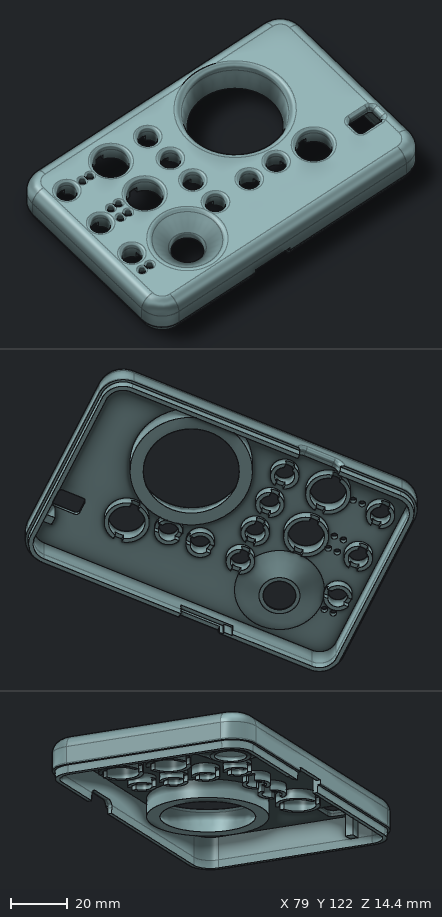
import cadquery as cq
import math

LENGTH_X = 79.0
LENGTH_Y = 122.0
HEIGHT = 14.4
CORNER_RADIUS = 9.3
TOP_EDGE_RADIUS = 5.0
WALL = 3.0
PLATE = 3.0
CAVITY_HEIGHT = HEIGHT - PLATE

LIP_HEIGHT = 2.9
LIP_INSET = 1.0
LIP_DRAFT_ANGLE = 4.0
STEP_CHAMFER_HEIGHT = 0.45
STEP_CHAMFER_WIDTH = 0.1

RIM_FILLET = 1.53
LARGE_BUTTON_RADIUS = 6.4
SMALL_BUTTON_RADIUS = 3.5
LARGE_BUTTONS = [(15.3, 29.5), (-24.3, -30.2), (-5.6, -30.2)]
SMALL_BUTTON_PAIR = [(12.7, 14.5), (12.7, 2.3)]
BUTTON_ROW_X = -24.5
BUTTON_ROW_Y = -13.3
BUTTON_ROW_PITCH = 12.5
BUTTON_ROW_COUNT = 4
BOTTOM_BUTTONS_Y = -50.5
BOTTOM_BUTTONS_X = [-24.0, -5.3]
BOTTOM_RIGHT_BUTTON = (12.0, BOTTOM_BUTTONS_Y)
TUBE_WALL = 1.5
TUBE_DEPTH = 6.6
TUBE_SLOT_WIDTH = 3.2
TUBE_SLOT_DEPTH = 2.4

LIGHT_RADIUS = 1.15
LIGHT_RIM_FILLET = 0.8
LIGHT_PITCH = 3.5
LIGHT_PAIR_CENTERS = [(-24.0, -41.7), (-8.2, -41.7), (-2.9, -41.7), (19.9, -50.6)]

DIAL_CENTER = (-14.4, 18.15)
DIAL_RIM_RADIUS = 21.5
DIAL_BOTTOM_RADIUS = 16.8
DIAL_DEPTH = 9.8
DIAL_RIM_FILLET = 2.7
DIAL_TAPER_ANGLE = 15.5

JOYSTICK_CENTER = (19.35, -31.3)
JOYSTICK_RIM_RADIUS = 14.3
JOYSTICK_HOLE_RADIUS = 5.7
JOYSTICK_RIM_FILLET = 3.0
JOYSTICK_THROAT_FILLET = 2.5
JOYSTICK_TAPER_ANGLE = 52.0
FUNNEL_WALL = 1.5

WINDOW_CENTER = (18.1, 50.6)
WINDOW_X = 7.0
WINDOW_Y = 10.4
WINDOW_CORNER_RADIUS = 1.4
WINDOW_RIM_FILLET = 1.6
SELECTION_MARGIN = 1.02
POST_X = 3.0
POST_Y = 3.7

NOTCH_CENTER_Y = -20.6
NOTCH_WIDTH = 15.6
NOTCH_TOP = 4.5
NOTCH_CORNER_RADIUS = 2.4
NOTCH_RIM_FILLET = 1.6
FAR_NOTCH_Y_MIN = -16.7
FAR_POCKET_TOP = 6.0
FAR_POCKETS = [(-18.05, 1.4), (-21.1, 0.7)]


def rounded_block(size_x, size_y, height, radius, z_bottom):
    block = cq.Workplane("XY").box(size_x, size_y, height, centered=(True, True, False))
    return block.edges("|Z").fillet(radius).translate((0, 0, z_bottom))


def cylinder(center, radius, z_bottom, z_top):
    return cq.Workplane("XY", origin=(*center, z_bottom)).circle(radius).extrude(z_top - z_bottom)


def revolve_at(profile, center):
    return profile.close().revolve(360, (0, 0, 0), (0, 1, 0)).translate((*center, 0))


def rounded_rim(rim_radius, fillet, taper_degrees=0.0):
    """Open (radius, z) profile: axis, top face, then the rim arc down to the bore wall.

    Returns the profile and the point where the arc meets the wall."""
    taper = math.radians(taper_degrees)
    middle = (taper + math.pi / 2) / 2
    center_z = HEIGHT - fillet

    def arc_point(angle):
        return (rim_radius - fillet * math.cos(angle), center_z + fillet * math.sin(angle))

    wall_start = arc_point(taper)
    profile = cq.Workplane("XZ").moveTo(0, HEIGHT).lineTo(rim_radius, HEIGHT)
    return profile.threePointArc(arc_point(middle), wall_start), wall_start


def straight_bore(center, radius, fillet):
    profile, _ = rounded_rim(radius + fillet, fillet)
    return revolve_at(profile.lineTo(radius, 0).lineTo(0, 0), center)


def drafted_block(inset, height, draft_angle):
    """Block from z = 0 up, inset from the outer sides at its top and drafted downward."""
    block = (
        cq.Workplane("XY")
        .workplane(offset=height)
        .sketch()
        .rect(LENGTH_X - 2 * inset, LENGTH_Y - 2 * inset)
        .vertices()
        .fillet(CORNER_RADIUS - inset)
        .finalize()
    )
    return block.extrude(-height, taper=draft_angle)


def make_shell():
    body_height = HEIGHT - LIP_HEIGHT
    body = rounded_block(LENGTH_X, LENGTH_Y, body_height, CORNER_RADIUS, LIP_HEIGHT)
    body = body.faces(">Z").edges().fillet(TOP_EDGE_RADIUS)
    body = body.faces("<Z").edges().chamfer(STEP_CHAMFER_HEIGHT, STEP_CHAMFER_WIDTH)
    lip = drafted_block(LIP_INSET, LIP_HEIGHT, LIP_DRAFT_ANGLE)
    cavity_x = LENGTH_X - 2 * WALL
    cavity_y = LENGTH_Y - 2 * WALL
    cavity = rounded_block(cavity_x, cavity_y, CAVITY_HEIGHT, CORNER_RADIUS - WALL, 0)
    cavity_mouth = drafted_block(WALL, LIP_HEIGHT, -LIP_DRAFT_ANGLE)
    return body.union(lip).cut(cavity).cut(cavity_mouth)


def button_positions():
    """Return (center, bore radius, angle of the tube slot from the X axis) for every button."""
    row = [(BUTTON_ROW_X + i * BUTTON_ROW_PITCH, BUTTON_ROW_Y) for i in range(BUTTON_ROW_COUNT)]
    bottom = [(x, BOTTOM_BUTTONS_Y) for x in BOTTOM_BUTTONS_X]
    slots_along_y = SMALL_BUTTON_PAIR + [BOTTOM_RIGHT_BUTTON]
    buttons = [(center, LARGE_BUTTON_RADIUS, 0) for center in LARGE_BUTTONS]
    buttons += [(center, SMALL_BUTTON_RADIUS, 0) for center in row + bottom]
    buttons += [(center, SMALL_BUTTON_RADIUS, 90) for center in slots_along_y]
    return buttons


def add_button_tubes(part):
    z_bottom = HEIGHT - TUBE_DEPTH
    for center, radius, slot_angle in button_positions():
        outer = radius + TUBE_WALL
        tube = cylinder(center, outer, z_bottom, CAVITY_HEIGHT)
        slot = cq.Workplane("XY").box(
            2 * outer, TUBE_SLOT_WIDTH, TUBE_SLOT_DEPTH, centered=(True, True, False)
        )
        slot = slot.rotate((0, 0, 0), (0, 0, 1), slot_angle)
        part = part.union(tube.cut(slot.translate((*center, z_bottom))))
    return part


def cut_button_bores(part):
    for center, radius, _ in button_positions():
        part = part.cut(straight_bore(center, radius, RIM_FILLET))
    return part


def cut_light_holes(part):
    for x, y in LIGHT_PAIR_CENTERS:
        for side in (-1, 1):
            center = (x, y + side * LIGHT_PITCH / 2)
            part = part.cut(straight_bore(center, LIGHT_RADIUS, LIGHT_RIM_FILLET))
    return part


def add_dial_tube(part):
    return part.union(cylinder(DIAL_CENTER, DIAL_RIM_RADIUS, HEIGHT - DIAL_DEPTH, HEIGHT))


def cut_dial_opening(part):
    profile, _ = rounded_rim(DIAL_RIM_RADIUS, DIAL_RIM_FILLET, DIAL_TAPER_ANGLE)
    z_bottom = HEIGHT - DIAL_DEPTH
    profile = profile.lineTo(DIAL_BOTTOM_RADIUS, z_bottom).lineTo(0, z_bottom)
    return part.cut(revolve_at(profile, DIAL_CENTER))


def joystick_funnel():
    """Return the funnel's solid wall and the cutter for its opening."""
    taper = math.radians(JOYSTICK_TAPER_ANGLE)
    profile, (start_radius, start_z) = rounded_rim(
        JOYSTICK_RIM_RADIUS, JOYSTICK_RIM_FILLET, JOYSTICK_TAPER_ANGLE
    )
    throat_center_radius = JOYSTICK_HOLE_RADIUS + JOYSTICK_THROAT_FILLET
    cone_end_radius = throat_center_radius - JOYSTICK_THROAT_FILLET * math.cos(taper)
    cone_end_z = start_z - (start_radius - cone_end_radius) / math.tan(taper)
    throat_center_z = cone_end_z - JOYSTICK_THROAT_FILLET * math.sin(taper)
    throat_middle = (
        throat_center_radius - JOYSTICK_THROAT_FILLET * math.cos(taper / 2),
        throat_center_z + JOYSTICK_THROAT_FILLET * math.sin(taper / 2),
    )
    opening = (
        profile.lineTo(cone_end_radius, cone_end_z)
        .threePointArc(throat_middle, (JOYSTICK_HOLE_RADIUS, throat_center_z))
        .lineTo(JOYSTICK_HOLE_RADIUS, 0)
        .lineTo(0, 0)
    )
    outer_tip_radius = JOYSTICK_HOLE_RADIUS + FUNNEL_WALL
    outer_rim_radius = JOYSTICK_RIM_RADIUS + FUNNEL_WALL
    wall = (
        cq.Workplane("XZ")
        .moveTo(0, CAVITY_HEIGHT)
        .lineTo(outer_rim_radius, CAVITY_HEIGHT)
        .lineTo(outer_tip_radius, throat_center_z)
        .lineTo(0, throat_center_z)
    )
    return revolve_at(wall, JOYSTICK_CENTER), revolve_at(opening, JOYSTICK_CENTER)


def add_window_post(part):
    height = CAVITY_HEIGHT - LIP_HEIGHT
    post = cq.Workplane("XY").box(POST_X, POST_Y, height, centered=(False, False, False))
    post_x = WINDOW_CENTER[0] + WINDOW_X / 2
    post_y = LENGTH_Y / 2 - WALL - POST_Y
    return part.union(post.translate((post_x, post_y, LIP_HEIGHT)))


def cut_window(part):
    window = rounded_block(WINDOW_X, WINDOW_Y, HEIGHT, WINDOW_CORNER_RADIUS, 0)
    part = part.cut(window.translate((*WINDOW_CENTER, 0)))
    center = cq.Vector(*WINDOW_CENTER, HEIGHT)
    half_size = cq.Vector(WINDOW_X / 2, WINDOW_Y / 2, PLATE / 2) * SELECTION_MARGIN
    low = (center - half_size).toTuple()
    high = (center + half_size).toTuple()
    mouth = cq.selectors.BoxSelector(low, high, boundingbox=True)
    return part.edges(mouth).fillet(WINDOW_RIM_FILLET)


def notch_block(thickness, grow):
    """Rounded notch shape, centred on z = 0 and reaching inward from the -X face."""
    block = cq.Workplane("XY").box(
        thickness, NOTCH_WIDTH + 2 * grow, 2 * (NOTCH_TOP + grow), centered=(False, True, True)
    )
    block = block.edges("|X").fillet(NOTCH_CORNER_RADIUS + grow)
    return block.translate((-LENGTH_X / 2, NOTCH_CENTER_Y, 0))


def cut_near_notch(part):
    surround = notch_block(WALL, 2 * NOTCH_RIM_FILLET).cut(notch_block(WALL, 0))
    rim = surround.faces("<X").val().innerWires()[0].Edges()
    surround = surround.newObject(rim).fillet(NOTCH_RIM_FILLET)
    cutter = notch_block(WALL, 2 * NOTCH_RIM_FILLET).cut(surround)
    return part.cut(cutter)


def cut_far_notch(part):
    notch = cq.Workplane("XY").box(2 * WALL, NOTCH_WIDTH, NOTCH_TOP, centered=(True, False, False))
    part = part.cut(notch.translate((LENGTH_X / 2, FAR_NOTCH_Y_MIN, 0)))
    inner_face_x = LENGTH_X / 2 - WALL
    for y_start, depth in FAR_POCKETS:
        length = NOTCH_WIDTH + FAR_NOTCH_Y_MIN - y_start
        pocket = cq.Workplane("XY").box(2 * depth, length, FAR_POCKET_TOP, centered=(True, False, False))
        part = part.cut(pocket.translate((inner_face_x, y_start, 0)))
    return part


def make_cover():
    funnel_wall, funnel_opening = joystick_funnel()
    part = make_shell()
    part = add_button_tubes(part)
    part = add_dial_tube(part)
    part = part.union(funnel_wall)
    part = cut_button_bores(part)
    part = cut_light_holes(part)
    part = cut_dial_opening(part)
    part = part.cut(funnel_opening)
    part = cut_window(part)
    part = add_window_post(part)
    part = cut_near_notch(part)
    return cut_far_notch(part)


result = make_cover()